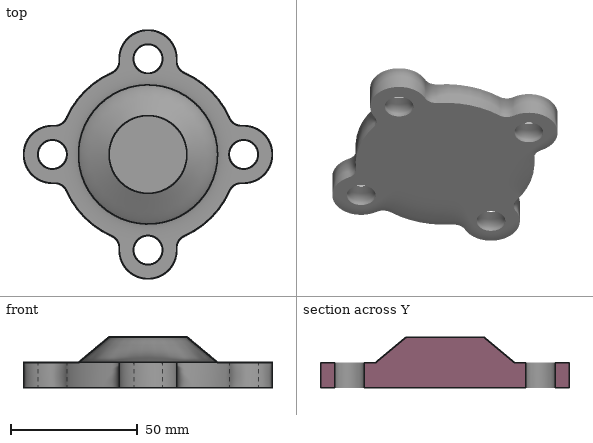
import cadquery as cq
import math

overall_width = 98.17
overall_height = 20.14
plate_thickness = 10.07
disc_radius = 35.25
lobe_radius = 11.38
hole_diameter = 11.36
blend_radius = 5.0
cone_base_radius = 27.45
cone_top_radius = 15.35
lobe_count = 4

bolt_circle_radius = overall_width / 2 - lobe_radius
corner_angle = math.acos(
    (bolt_circle_radius**2 + disc_radius**2 - lobe_radius**2) / (2 * bolt_circle_radius * disc_radius)
)


def lobe_pattern():
    """Bolt positions on the XY plane, equally spaced from the +X axis."""
    return cq.Workplane("XY").polarArray(bolt_circle_radius, 0, 360, lobe_count)


def flange():
    """Round plate with lobes, blended where each lobe meets the disc."""
    disc = cq.Workplane("XY").circle(disc_radius).extrude(plate_thickness)
    lobes = lobe_pattern().circle(lobe_radius).extrude(plate_thickness)
    body = disc.union(lobes)
    corners = []
    for lobe in range(lobe_count):
        lobe_angle = lobe * 2 * math.pi / lobe_count
        for angle in (lobe_angle - corner_angle, lobe_angle + corner_angle):
            corner = (
                disc_radius * math.cos(angle),
                disc_radius * math.sin(angle),
                plate_thickness / 2,
            )
            corners += body.edges(cq.selectors.NearestToPointSelector(corner)).vals()
    return body.newObject(corners).fillet(blend_radius)


def cone():
    """Truncated cone standing on the plate's upper face."""
    return (
        cq.Workplane("XZ")
        .moveTo(0, plate_thickness)
        .lineTo(cone_base_radius, plate_thickness)
        .lineTo(cone_top_radius, overall_height)
        .lineTo(0, overall_height)
        .close()
        .revolve(360, (0, 0, 0), (0, 1, 0))
    )


def bolt_holes():
    """Through-hole cutters, one at the centre of each lobe."""
    return lobe_pattern().circle(hole_diameter / 2).extrude(plate_thickness)


result = flange().union(cone()).cut(bolt_holes())